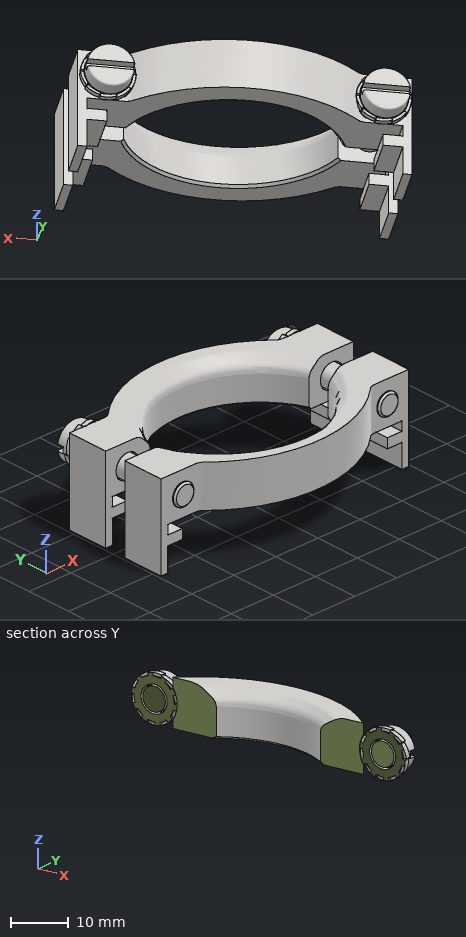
import cadquery as cq
import math

CLAMP_LENGTH = 59.0
CLAMP_WIDTH = 40.05
CLAMP_HEIGHT = 19.2
HALF_GAP = 2.4
LUG_DEPTH = 9.2
BAND_HEIGHT = 9.55

BAND_OUTER_RADIUS = 29.0
BAND_INNER_RADIUS = 20.4
BAND_INNER_REACH = 15.1
LEAD_IN = 2.5
BOTTOM_CHAMFER = 0.5
LUG_FILLET = 2.0

WALL_THICKNESS = 1.65
TAB_REACH = 5.15
TAB_TOP = 11.6
TAB_THICKNESS = 2.2

SCREW_X = 24.3
SCREW_Z = -4.9
SHANK_DIAMETER = 4.9
TIP_DIAMETER = 4.15
TIP_PROTRUSION = 0.6
CLEARANCE_DIAMETER = 5.4
HEAD_DIAMETER = 8.45
HEAD_HEIGHT = 3.0
HEAD_FILLET = 0.4
SLOT_WIDTH = 1.35
SLOT_DEPTH = 1.65

WASHER_DIAMETER = 9.75
WASHER_THICKNESS = 1.35
TOOTH_COUNT = 10
TOOTH_ANGLE = 35.0
TOOTH_ROOT_RADIUS = 4.3
TOOTH_THICKNESS = 1.05
TOOTH_RISE = 0.55

HALF_LENGTH = CLAMP_LENGTH / 2
LUG_FACE = HALF_GAP + LUG_DEPTH
OUTER_CENTRE_Y = CLAMP_WIDTH / 2 - BAND_OUTER_RADIUS
INNER_CENTRE_Y = BAND_INNER_REACH - BAND_INNER_RADIUS
SIDES = (-1, 1)


def y_cylinder(diameter, start_y, end_y):
    """Round bar along +Y, centred on the Y axis."""
    plane = cq.Workplane("XZ", origin=(0, start_y, 0))
    return plane.circle(diameter / 2).extrude(start_y - end_y)


def at_screw(body, side):
    return body.translate((side * SCREW_X, 0, SCREW_Z))


def band_and_lugs():
    shoulder_x = math.sqrt(BAND_OUTER_RADIUS**2 - (LUG_FACE - OUTER_CENTRE_Y)**2)
    outline = (
        cq.Workplane("XY")
        .moveTo(-HALF_LENGTH, HALF_GAP)
        .lineTo(HALF_LENGTH, HALF_GAP)
        .lineTo(HALF_LENGTH, LUG_FACE)
        .lineTo(shoulder_x, LUG_FACE)
        .threePointArc((0, CLAMP_WIDTH / 2), (-shoulder_x, LUG_FACE))
        .lineTo(-HALF_LENGTH, LUG_FACE)
        .close()
        .extrude(-BAND_HEIGHT)
    )
    shoulders = cq.selectors.BoxSelector((-SCREW_X, HALF_GAP, -BAND_HEIGHT), (SCREW_X, CLAMP_WIDTH, 0))
    return outline.edges("|Z").edges(shoulders).fillet(LUG_FILLET)


def bore_cutter():
    """Inner cylinder whose upper edge opens through a blend, a cone and a second blend."""
    diagonal = math.sqrt(0.5)
    long_run = LEAD_IN * diagonal
    short_run = LEAD_IN - long_run
    blend_tangent = LEAD_IN * math.tan(math.pi / 8)
    opening = LEAD_IN + blend_tangent
    middle_run = LEAD_IN * math.sin(math.pi / 8)
    middle_drop = LEAD_IN * (1 - math.cos(math.pi / 8))
    rim = BAND_INNER_RADIUS + opening
    profile = (
        cq.Workplane("XZ")
        .moveTo(0, 0)
        .lineTo(rim, 0)
        .threePointArc((rim - middle_run, -middle_drop), (rim - long_run, -short_run))
        .lineTo(BAND_INNER_RADIUS + short_run, long_run - opening)
        .threePointArc(
            (BAND_INNER_RADIUS + middle_drop, middle_run - opening), (BAND_INNER_RADIUS, -opening)
        )
        .lineTo(BAND_INNER_RADIUS, BOTTOM_CHAMFER - BAND_HEIGHT)
        .lineTo(BAND_INNER_RADIUS + BOTTOM_CHAMFER, -BAND_HEIGHT)
        .lineTo(0, -BAND_HEIGHT)
        .close()
    )
    return profile.revolve(360, (0, 0, 0), (0, 1, 0)).translate((0, INNER_CENTRE_Y, 0))


def hanging_wall(side):
    wall = cq.Workplane("XY").box(WALL_THICKNESS, LUG_DEPTH, CLAMP_HEIGHT, centered=(True, False, False))
    wall = wall.translate((side * (HALF_LENGTH - WALL_THICKNESS / 2), HALF_GAP, -CLAMP_HEIGHT))
    tab = cq.Workplane("XY").box(TAB_REACH, LUG_DEPTH, TAB_THICKNESS, centered=(True, False, False))
    tab = tab.translate((side * (HALF_LENGTH - TAB_REACH / 2), HALF_GAP, -TAB_TOP - TAB_THICKNESS))
    return wall.union(tab)


def make_clamp_half(hole_diameter):
    half = band_and_lugs().cut(bore_cutter())
    for side in SIDES:
        half = half.union(hanging_wall(side))
        half = half.cut(at_screw(y_cylinder(hole_diameter, HALF_GAP, LUG_FACE), side))
    return half


def make_head_half():
    """Half under the screw heads: clearance holes, and round seats cut into the band for the washers."""
    half = make_clamp_half(CLEARANCE_DIAMETER)
    for side in SIDES:
        half = half.cut(at_screw(y_cylinder(WASHER_DIAMETER, LUG_FACE, CLAMP_WIDTH / 2), side))
    return half


def make_tip_half():
    """Half that holds the screw shanks."""
    return make_clamp_half(SHANK_DIAMETER).mirror("XZ")


def make_screw(side):
    head_base = LUG_FACE + WASHER_THICKNESS
    head_top = head_base + HEAD_HEIGHT
    head = y_cylinder(HEAD_DIAMETER, head_base, head_top).faces(">Y").edges().fillet(HEAD_FILLET)
    slot = cq.Workplane("XY").box(HEAD_DIAMETER, SLOT_DEPTH, SLOT_WIDTH)
    head = head.cut(slot.translate((0, head_top - SLOT_DEPTH / 2, 0)))
    shank = y_cylinder(SHANK_DIAMETER, -LUG_FACE - TIP_PROTRUSION, head_base)
    shank = shank.faces("<Y").chamfer((SHANK_DIAMETER - TIP_DIAMETER) / 2)
    return at_screw(shank.union(head), side)


def make_tooth():
    """One twisted tooth on the -X side, climbing away from the lug towards +Z."""
    outer_radius = WASHER_DIAMETER / 2
    half_width = outer_radius * math.tan(math.radians(TOOTH_ANGLE / 2))
    twisted_bar = (
        cq.Workplane("YZ")
        .moveTo(0, -half_width)
        .lineTo(TOOTH_THICKNESS, -half_width)
        .lineTo(TOOTH_THICKNESS + TOOTH_RISE, half_width)
        .lineTo(TOOTH_RISE, half_width)
        .close()
        .extrude(-outer_radius)
    )
    sector = (
        cq.Workplane("XZ")
        .moveTo(0, 0)
        .lineTo(-outer_radius, -half_width)
        .lineTo(-outer_radius, half_width)
        .close()
        .extrude(-TOOTH_THICKNESS - TOOTH_RISE)
    )
    tooth_space = y_cylinder(WASHER_DIAMETER, 0, TOOTH_THICKNESS + TOOTH_RISE).cut(
        y_cylinder(2 * TOOTH_ROOT_RADIUS, 0, TOOTH_THICKNESS + TOOTH_RISE)
    )
    return twisted_bar.intersect(sector).intersect(tooth_space)


def make_washer(side):
    washer = y_cylinder(2 * TOOTH_ROOT_RADIUS, 0, WASHER_THICKNESS)
    tooth = make_tooth()
    pitch = 360 / TOOTH_COUNT
    for index in range(TOOTH_COUNT):
        washer = washer.union(tooth.rotate((0, 0, 0), (0, 1, 0), (index + 0.5) * pitch))
    washer = washer.cut(y_cylinder(CLEARANCE_DIAMETER, 0, WASHER_THICKNESS))
    return at_screw(washer.translate((0, LUG_FACE, 0)), side)


head_half = make_head_half()
tip_half = make_tip_half()
screws = [make_screw(side) for side in SIDES]
washers = [make_washer(side) for side in SIDES]

result = cq.Compound.makeCompound(
    [
        head_half.val(),
        tip_half.val(),
        *[screw.val() for screw in screws],
        *[washer.val() for washer in washers],
    ]
)